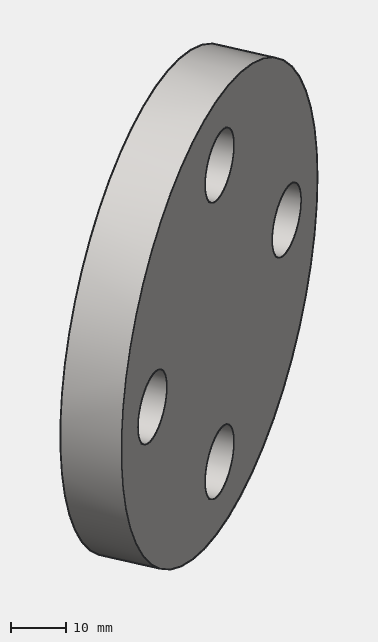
import cadquery as cq

outer_diameter = 95.0
thickness = 12.0

hole_count = 4
hole_diameter = 14.0
bolt_circle_diameter = 65.0

plate = (
    cq.Workplane("YZ")
    .circle(outer_diameter / 2)
    .extrude(thickness)
)

bolt_holes = (
    cq.Workplane("YZ")
    .polarArray(bolt_circle_diameter / 2, 0, 360, hole_count)
    .circle(hole_diameter / 2)
    .extrude(thickness)
)

result = plate.cut(bolt_holes).translate((-thickness / 2, 0, 0))